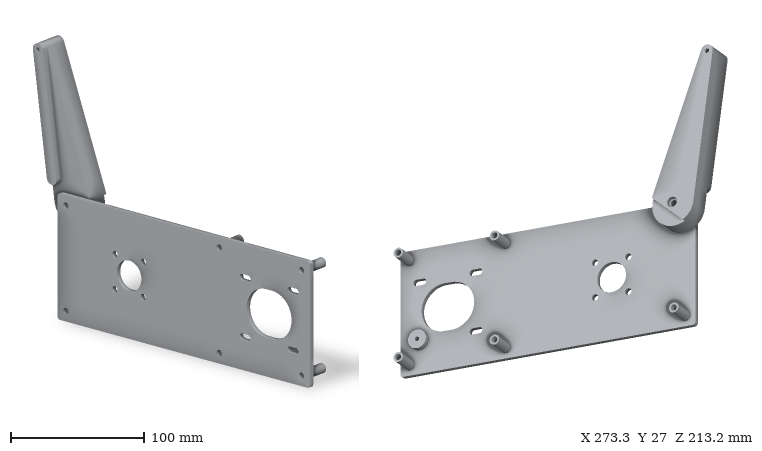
import cadquery as cq
import math


plate_length = 247.3
plate_height = 100.0
plate_thickness = 4.0
plate_corner_radius = 2.5
screw_hole_diameter = 5.2

standoff_inset = 8.2
middle_standoff_x = 158.5
standoff_diameter = 8.0
standoff_bore = 5.0
standoff_length = 20.0
standoff_xs = (standoff_inset, middle_standoff_x, plate_length - standoff_inset)
standoff_zs = (standoff_inset, plate_height - standoff_inset)
standoff_back = plate_thickness + standoff_length

mid_z = plate_height / 2
round_opening_x = 70.2
round_opening_diameter = 24.0
round_hole_offset = 14.0

oblong_opening_x = 207.5
oblong_opening_height = 38.3
adjustment_travel = 5.7
slot_offset = 23.5
slot_width = 5.0

spacer_diameter = 15.0
spacer_bore = 3.5
spacer_thickness = 5.0

total_length = 273.3
total_height = 213.2
arm_back = 27.0
arm_front = 8.0
finger_front = 2.2
finger_length = 100.0
tip_radius = 5.0
tip_hole_diameter = 3.5
hub_radius = 18.0
pivot_bore = 8.2
relief_start_angle = 240

tip_x = plate_length - total_length + tip_radius
tip_z = total_height - tip_radius
pivot_x = standoff_xs[0]
pivot_z = standoff_zs[1]

axis_angle = math.atan2(tip_z - pivot_z, tip_x - pivot_x)
arm_reach = math.hypot(tip_x - pivot_x, tip_z - pivot_z)
normal_spread = math.acos((hub_radius - tip_radius) / arm_reach)
left_normal = axis_angle + normal_spread
right_normal = axis_angle - normal_spread


def polar(center, radius, angle):
    """Point at a radius and angle (radians) around a center in the XZ plane."""
    return (center[0] + radius * math.cos(angle), center[1] + radius * math.sin(angle))


def face_at(y):
    """XZ workplane at depth y; extrude(-length) goes toward +Y."""
    return cq.Workplane("XZ", origin=(0, y, 0))


def cylinder(x, z, diameter, front, back):
    """Solid cylinder along Y."""
    return face_at(front).center(x, z).circle(diameter / 2).extrude(front - back)


def four_around(center_x, offset):
    """Corners of a square centered at mid height of the plate."""
    return [(center_x + i * offset, mid_z + k * offset) for i in (-1, 1) for k in (-1, 1)]


def make_plate():
    plate = (
        cq.Workplane("XY")
        .box(plate_length, plate_thickness, plate_height, centered=False)
        .edges("|Y")
        .fillet(plate_corner_radius)
    )
    standoff_points = [(x, z) for x in standoff_xs for z in standoff_zs]
    screw_points = standoff_points + four_around(round_opening_x, round_hole_offset)
    screw_holes = face_at(0).pushPoints(screw_points).circle(screw_hole_diameter / 2)
    round_opening = face_at(0).center(round_opening_x, mid_z).circle(round_opening_diameter / 2)
    oblong_opening = (
        face_at(0)
        .center(oblong_opening_x, mid_z)
        .slot2D(oblong_opening_height + adjustment_travel, oblong_opening_height)
    )
    slots = (
        face_at(0)
        .pushPoints(four_around(oblong_opening_x, slot_offset))
        .slot2D(slot_width + adjustment_travel, slot_width)
    )
    for opening in (screw_holes, round_opening, oblong_opening, slots):
        plate = plate.cut(opening.extrude(-plate_thickness))
    return plate


def make_tube(x, z, diameter, bore, length):
    """Round tube standing on the back of the plate."""
    return (
        face_at(plate_thickness)
        .center(x, z)
        .circle(diameter / 2)
        .circle(bore / 2)
        .extrude(-length)
    )


def make_arm():
    tip = (tip_x, tip_z)
    pivot = (pivot_x, pivot_z)
    hub_right = polar(pivot, hub_radius, right_normal)

    body = (
        face_at(arm_front)
        .moveTo(*polar(tip, tip_radius, left_normal))
        .threePointArc(polar(tip, tip_radius, axis_angle), polar(tip, tip_radius, right_normal))
        .lineTo(*hub_right)
        .threePointArc(
            polar(pivot, hub_radius, axis_angle + math.pi), polar(pivot, hub_radius, left_normal)
        )
        .close()
        .extrude(arm_front - arm_back)
    )

    edge_angle = left_normal + math.pi / 2
    finger_middle = polar(tip, finger_length / 2, edge_angle)
    finger = (
        face_at(finger_front)
        .center(*finger_middle)
        .slot2D(finger_length + 2 * tip_radius, 2 * tip_radius, math.degrees(edge_angle))
        .extrude(finger_front - arm_front)
    )

    relief = (
        face_at(standoff_back)
        .moveTo(*polar(pivot, hub_radius, math.radians(relief_start_angle)))
        .lineTo(*hub_right)
        .lineTo(pivot_x + 2 * hub_radius, pivot_z)
        .lineTo(pivot_x, pivot_z - 2 * hub_radius)
        .close()
        .extrude(standoff_back - arm_back)
    )

    tip_hole = cylinder(tip_x, tip_z, tip_hole_diameter, finger_front, arm_back)
    pivot_hole = cylinder(pivot_x, pivot_z, pivot_bore, arm_front, arm_back)
    return body.union(finger).cut(relief).cut(tip_hole).cut(pivot_hole)


plate = make_plate()
arm = make_arm()
spacer = make_tube(
    oblong_opening_x + slot_offset, mid_z - slot_offset, spacer_diameter, spacer_bore, spacer_thickness
)
standoffs = [
    make_tube(x, z, standoff_diameter, standoff_bore, standoff_length)
    for x in standoff_xs
    for z in standoff_zs
]

result = cq.Compound.makeCompound(
    [plate.val(), arm.val(), spacer.val(), *[standoff.val() for standoff in standoffs]]
)